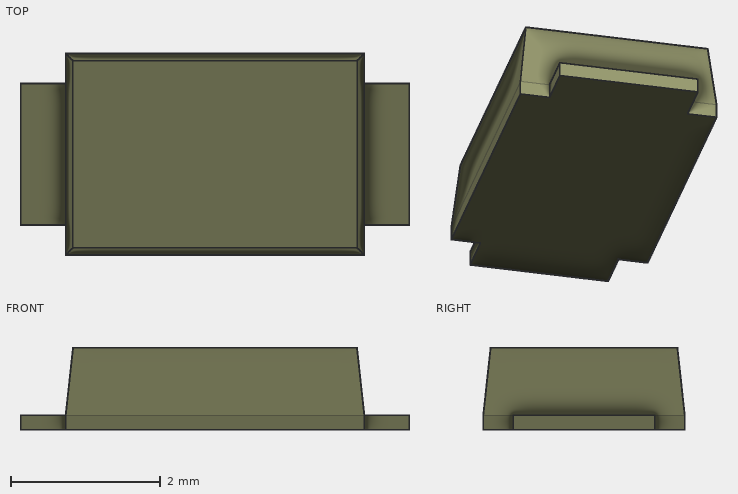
import cadquery as cq

overall_length = 5.2
body_length = 4.0
body_width = 2.7
body_height = 1.1

lead_width = 1.9
lead_thickness = 0.2

top_inset = 0.1


def flat_leads():
    """One strip along X whose two ends stick out of the body as leads."""
    return cq.Workplane("XY").box(
        overall_length, lead_width, lead_thickness, centered=(True, True, False)
    )


def body_base():
    """Straight-sided lower part of the body, as tall as the leads."""
    return cq.Workplane("XY").box(
        body_length, body_width, lead_thickness, centered=(True, True, False)
    )


def tapered_body():
    """Upper part of the body, narrowing to the flat top face."""
    return (
        cq.Workplane("XY")
        .workplane(offset=lead_thickness)
        .rect(body_length, body_width)
        .workplane(offset=body_height - lead_thickness)
        .rect(body_length - 2 * top_inset, body_width - 2 * top_inset)
        .loft(ruled=True)
    )


result = body_base().union(tapered_body()).union(flat_leads())